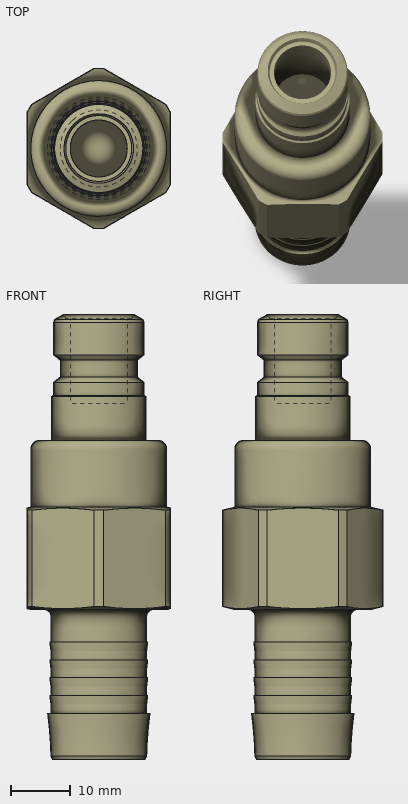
import cadquery as cq

LENGTH = 74.5

TAIL_R = 16.0 / 2
TAIL_END_CHAMFER = 0.3
END_BARB_R = 8.6
END_BARB_MID_R = 8.2
END_BARB_BOTTOM_Z = 0.6
END_BARB_TOP_Z = 7.75
RING_R = 8.2
RING_HEIGHT = 1.5
RING_COUNT = 4
RING_PITCH = 3.0
FIRST_RING_Z = 9.25
NECK_FILLET = 1.1

HEX_FLATS = 24.0
HEX_CORNER_R = 26.8 / 2
HEX_BOTTOM_Z = 25.1
HEX_TOP_Z = 42.25
HEX_CHAMFER_DROP = 0.5

COLLAR_R = 22.7 / 2
COLLAR_TOP_Z = 53.4
COLLAR_FILLET = 1.5
SHANK_R = 15.8 / 2
SHANK_TOP_Z = 60.7
SHANK_STEP_CHAMFER = 0.2

NOSE_R = 15.1 / 2
GROOVE_R = 12.9 / 2
GROOVE_BOTTOM_Z = 64.0
GROOVE_TOP_Z = 66.8
GROOVE_BOTTOM_BEVEL = 0.9
GROOVE_TOP_BEVEL = 0.9
NOSE_CONE_R = 7.4
NOSE_CONE_DROP = 0.9
NOSE_EDGE_DROP = 1.35
RIM_R = 5.8

BORE_R = 9.5 / 2
BORE_MOUTH_R = 11.0 / 2
BORE_MOUTH_DEPTH = 0.75
BORE_DEPTH = 14.9


def make_tail():
    """Barbed hose tail, ending in a concave fillet under the hexagon."""
    barb_mid_z = (END_BARB_BOTTOM_Z + END_BARB_TOP_Z) / 2
    profile = (
        cq.Workplane("XZ")
        .lineTo(TAIL_R - TAIL_END_CHAMFER, 0)
        .lineTo(TAIL_R, END_BARB_BOTTOM_Z)
        .threePointArc((END_BARB_MID_R, barb_mid_z), (END_BARB_R, END_BARB_TOP_Z))
        .lineTo(TAIL_R, END_BARB_TOP_Z)
    )
    for i in range(RING_COUNT):
        ring_z = FIRST_RING_Z + i * RING_PITCH
        profile = (
            profile.lineTo(TAIL_R, ring_z)
            .lineTo(RING_R, ring_z + RING_HEIGHT)
            .lineTo(TAIL_R, ring_z + RING_HEIGHT)
        )
    return (
        profile.lineTo(TAIL_R, HEX_BOTTOM_Z - NECK_FILLET)
        .radiusArc((TAIL_R + NECK_FILLET, HEX_BOTTOM_Z), NECK_FILLET)
        .lineTo(0, HEX_BOTTOM_Z)
        .close()
        .revolve(360, (0, 0), (0, 1))
    )


def make_hexagon():
    """Hexagonal grip, corners turned to a cylinder and both ends coned."""
    prism = (
        cq.Workplane("XY", origin=(0, 0, HEX_BOTTOM_Z))
        .polygon(6, HEX_FLATS, circumscribed=True)
        .extrude(HEX_TOP_Z - HEX_BOTTOM_Z)
    )
    envelope = (
        cq.Workplane("XZ")
        .moveTo(0, HEX_BOTTOM_Z)
        .lineTo(COLLAR_R, HEX_BOTTOM_Z)
        .lineTo(HEX_CORNER_R, HEX_BOTTOM_Z + HEX_CHAMFER_DROP)
        .lineTo(HEX_CORNER_R, HEX_TOP_Z - HEX_CHAMFER_DROP)
        .lineTo(COLLAR_R, HEX_TOP_Z)
        .lineTo(0, HEX_TOP_Z)
        .close()
        .revolve(360, (0, 0), (0, 1))
    )
    return prism.intersect(envelope)


def make_collar():
    """Round collar above the hexagon with a rounded top edge."""
    return (
        cq.Workplane("XY", origin=(0, 0, HEX_TOP_Z))
        .circle(COLLAR_R)
        .extrude(COLLAR_TOP_Z - HEX_TOP_Z)
        .faces(">Z")
        .edges()
        .fillet(COLLAR_FILLET)
    )


def make_plug():
    """Stepped plug shank and nose with the locking groove."""
    return (
        cq.Workplane("XZ")
        .moveTo(0, COLLAR_TOP_Z)
        .lineTo(SHANK_R, COLLAR_TOP_Z)
        .lineTo(SHANK_R, SHANK_TOP_Z)
        .lineTo(NOSE_R, SHANK_TOP_Z + SHANK_STEP_CHAMFER)
        .lineTo(NOSE_R, GROOVE_BOTTOM_Z - GROOVE_BOTTOM_BEVEL)
        .lineTo(GROOVE_R, GROOVE_BOTTOM_Z)
        .lineTo(GROOVE_R, GROOVE_TOP_Z)
        .lineTo(NOSE_R, GROOVE_TOP_Z + GROOVE_TOP_BEVEL)
        .lineTo(NOSE_R, LENGTH - NOSE_EDGE_DROP)
        .lineTo(NOSE_CONE_R, LENGTH - NOSE_CONE_DROP)
        .lineTo(RIM_R, LENGTH)
        .lineTo(0, LENGTH)
        .close()
        .revolve(360, (0, 0), (0, 1))
    )


def make_bore():
    """Blind plug bore with its tapered mouth and flat shoulder."""
    return (
        cq.Workplane("XZ")
        .moveTo(0, LENGTH - BORE_DEPTH)
        .lineTo(BORE_R, LENGTH - BORE_DEPTH)
        .lineTo(BORE_R, LENGTH - BORE_MOUTH_DEPTH)
        .lineTo(BORE_MOUTH_R, LENGTH - BORE_MOUTH_DEPTH)
        .lineTo(RIM_R, LENGTH)
        .lineTo(0, LENGTH)
        .close()
        .revolve(360, (0, 0), (0, 1))
    )


body = make_tail().union(make_hexagon()).union(make_collar()).union(make_plug())
result = body.cut(make_bore())